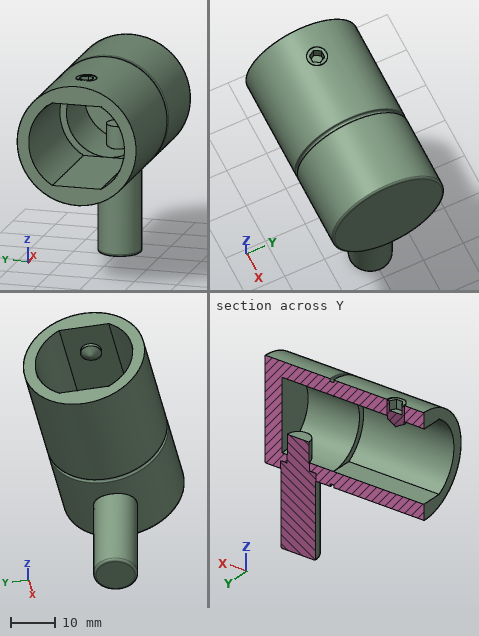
import cadquery as cq
import math

HOUSING_LENGTH = 45.0
HOUSING_DIAMETER = 28.0
HOUSING_RADIUS = HOUSING_DIAMETER / 2
END_FILLET = 0.5

GROOVE_START = 25.5
GROOVE_WIDTH = 0.95
GROOVE_DEPTH = 0.7
GROOVE_FILLET = 0.1

SOCKET_DIAMETER = 22.5
BORE_DIAMETER = 19.4
SOCKET_FLAT_SPACING = BORE_DIAMETER
SOCKET_DEPTH = GROOVE_START
BORE_END = 40.0

OVERALL_HEIGHT = 48.5
HANDLE_X = 35.5
HANDLE_DIAMETER = 10.0
HANDLE_BOTTOM = HOUSING_RADIUS - OVERALL_HEIGHT
HANDLE_SHOULDER = -12.0
HANDLE_FILLET = 0.6
TIP_DIAMETER = 6.1
TIP_TOP = -4.4

SCREW_X = 8.0
SCREW_DIAMETER = 4.75
SCREW_RADIUS = SCREW_DIAMETER / 2
SCREW_TOP = 13.75
SCREW_POINT = 7.6
POINT_FLANK_ANGLE = 30.0
POINT_HEIGHT = SCREW_RADIUS * math.tan(math.radians(POINT_FLANK_ANGLE))
HEX_ACROSS_FLATS = 2.95
HEX_ACROSS_CORNERS = HEX_ACROSS_FLATS / math.cos(math.pi / 6)
HEX_DEPTH = 2.42


def x_cylinder(start, end, diameter):
    """Cylinder on the housing axis between two X positions."""
    return cq.Workplane("YZ", origin=(start, 0, 0)).circle(diameter / 2).extrude(end - start)


def z_cylinder(x, bottom, top, diameter):
    """Upright cylinder between two Z positions."""
    return cq.Workplane("XY", origin=(x, 0, bottom)).circle(diameter / 2).extrude(top - bottom)


def make_socket():
    """Round socket narrowed by flats above and below."""
    flats = cq.Workplane("XY").box(
        SOCKET_DEPTH, SOCKET_DIAMETER, SOCKET_FLAT_SPACING, centered=(False, True, True)
    )
    return x_cylinder(0, SOCKET_DEPTH, SOCKET_DIAMETER).intersect(flats)


def cut_groove(body):
    """Cut the ring groove and round its two lips and two floor corners."""
    groove_end = GROOVE_START + GROOVE_WIDTH
    core = x_cylinder(GROOVE_START, groove_end, HOUSING_DIAMETER - 2 * GROOVE_DEPTH)
    ring = x_cylinder(GROOVE_START, groove_end, HOUSING_DIAMETER).cut(core)

    margin = GROOVE_WIDTH / 2
    groove_edges = cq.selectors.BoxSelector(
        (GROOVE_START - margin, -margin, -margin),
        (groove_end + margin, margin, margin),
    )
    return body.cut(ring).edges(groove_edges).fillet(GROOVE_FILLET)


def make_housing():
    body = x_cylinder(0, HOUSING_LENGTH, HOUSING_DIAMETER).faces(">X").edges().fillet(END_FILLET)
    body = cut_groove(body)
    body = body.cut(make_socket())
    body = body.cut(x_cylinder(SOCKET_DEPTH, BORE_END, BORE_DIAMETER))

    body = body.cut(z_cylinder(SCREW_X, 0, HOUSING_RADIUS, SCREW_DIAMETER))
    body = body.cut(z_cylinder(HANDLE_X, -HOUSING_RADIUS, HANDLE_SHOULDER, HANDLE_DIAMETER))
    return body.cut(z_cylinder(HANDLE_X, HANDLE_SHOULDER, TIP_TOP, TIP_DIAMETER))


def make_handle():
    grip = z_cylinder(HANDLE_X, HANDLE_BOTTOM, HANDLE_SHOULDER, HANDLE_DIAMETER)
    grip = grip.faces("<Z").edges().fillet(HANDLE_FILLET)
    return grip.union(z_cylinder(HANDLE_X, HANDLE_SHOULDER, TIP_TOP, TIP_DIAMETER))


def make_set_screw():
    screw = (
        cq.Workplane("XZ", origin=(SCREW_X, 0, 0))
        .moveTo(0, SCREW_POINT)
        .lineTo(SCREW_RADIUS, SCREW_POINT + POINT_HEIGHT)
        .lineTo(SCREW_RADIUS, SCREW_TOP)
        .lineTo(0, SCREW_TOP)
        .close()
        .revolve(360, (0, 0, 0), (0, 1, 0))
    )
    hex_socket = (
        cq.Workplane("XY", origin=(SCREW_X, 0, SCREW_TOP))
        .polygon(6, HEX_ACROSS_CORNERS)
        .extrude(-HEX_DEPTH)
    )
    return screw.cut(hex_socket)


housing = make_housing()
handle = make_handle()
set_screw = make_set_screw()

result = cq.Compound.makeCompound([housing.val(), handle.val(), set_screw.val()])